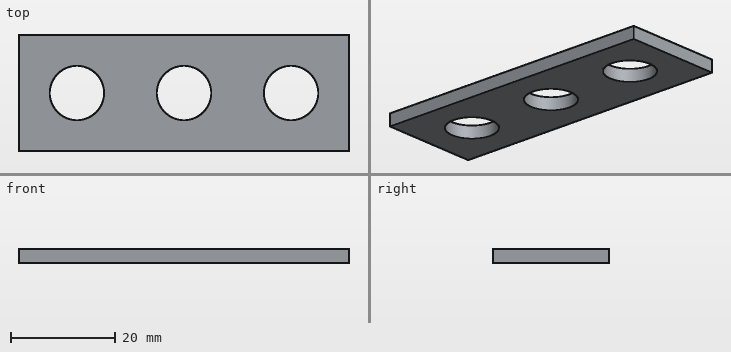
import cadquery as cq

length = 63.5
width = 22.35
thickness = 2.75
hole_diameter = 10.41
hole_count = 3

end_margin = width / 2
hole_pitch = (length - 2 * end_margin) / (hole_count - 1)


def make_plate():
    """Flat rectangular plate centred on the origin."""
    return cq.Workplane("XY").box(length, width, thickness)


def drill_holes(plate):
    """Row of equally spaced through holes along the plate's centreline."""
    return (
        plate.faces(">Z")
        .workplane()
        .rarray(hole_pitch, width, hole_count, 1)
        .hole(hole_diameter)
    )


result = drill_holes(make_plate())